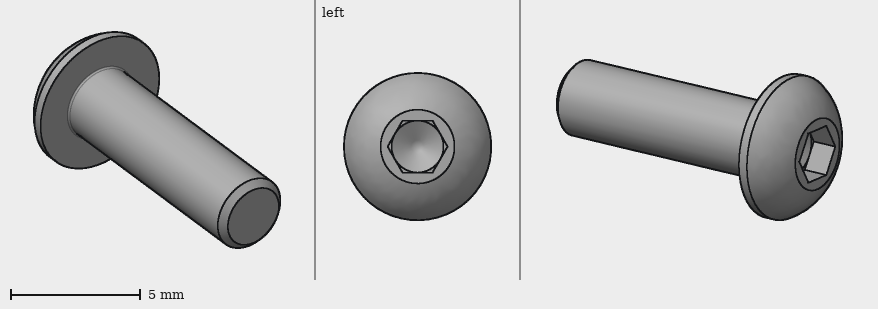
import cadquery as cq
import math

total_length = 11.65
head_diameter = 5.7
head_height = 1.65
rim_width = 0.38
face_diameter = 2.85
dome_bulge = 0.19
shank_diameter = 3.0
neck_fillet = 0.07
tip_chamfer_length = 0.28
tip_chamfer_depth = 0.28
socket_across_flats = 2.0
socket_depth = 1.04
socket_cone_angle = 120.0

head_radius = head_diameter / 2
face_radius = face_diameter / 2
shank_radius = shank_diameter / 2
dome_height = head_height - rim_width


def make_body():
    """Revolve the head and shank profile about the X axis."""
    chord_length = math.hypot(dome_height, head_radius - face_radius)
    dome_middle = (
        dome_height / 2 - dome_bulge * (head_radius - face_radius) / chord_length,
        (face_radius + head_radius) / 2 + dome_bulge * dome_height / chord_length,
    )
    profile = (
        cq.Workplane("XY")
        .lineTo(0, face_radius)
        .threePointArc(dome_middle, (dome_height, head_radius))
        .lineTo(head_height, head_radius)
        .lineTo(head_height, shank_radius + neck_fillet)
        .radiusArc((head_height + neck_fillet, shank_radius), -neck_fillet)
        .lineTo(total_length - tip_chamfer_length, shank_radius)
        .lineTo(total_length, shank_radius - tip_chamfer_depth)
        .lineTo(total_length, 0)
        .close()
    )
    return profile.revolve(360, (0, 0, 0), (1, 0, 0))


def make_socket():
    """Hexagonal socket, corners along Y, with a conical bottom."""
    corner_diameter = socket_across_flats / math.cos(math.radians(30))
    cone_radius = socket_across_flats / 2
    cone_depth = cone_radius / math.tan(math.radians(socket_cone_angle / 2))
    hexagon = cq.Workplane("YZ").polygon(6, corner_diameter).extrude(socket_depth)
    cone = (
        cq.Workplane("XY")
        .moveTo(socket_depth, 0)
        .lineTo(socket_depth, cone_radius)
        .lineTo(socket_depth + cone_depth, 0)
        .close()
        .revolve(360, (0, 0, 0), (1, 0, 0))
    )
    return hexagon.union(cone)


result = make_body().cut(make_socket())